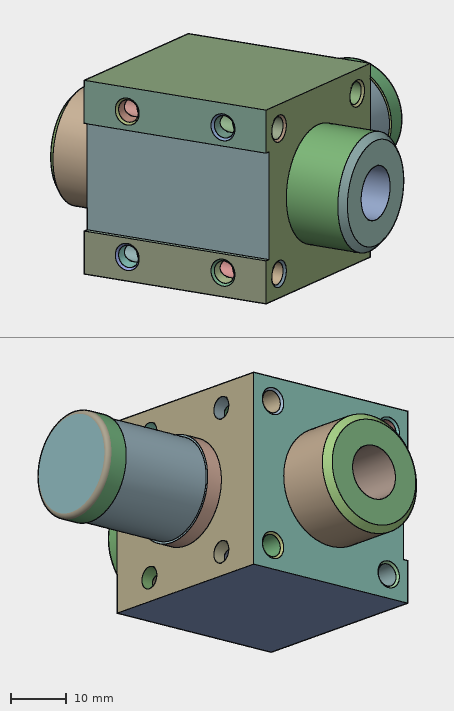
import cadquery as cq
import math

block_length = 38.0
block_side = 36.0

channel_width = 20.0
channel_depth = 1.0

shaft_length = 62.0
shaft_diameter = 22.0
shaft_chamfer = 1.25
bore_diameter = 10.0

cylinder_length = 26.5
cylinder_diameter = 19.2
collar_diameter = 20.0
base_collar_length = 3.2
end_collar_length = 4.3
end_edge_radius = 0.9

hole_diameter = 4.134
countersink_diameter = 5.0
countersink_wall_angle = 45.0
hole_inset = 4.5
front_hole_spacing = 20.0

side_hole_spacing = block_side - 2 * hole_inset
countersink_depth = (
    (countersink_diameter - hole_diameter) / 2 / math.tan(math.radians(countersink_wall_angle))
)


def make_block():
    """Block with the shallow channel running along X in its front face."""
    block = cq.Workplane("XY").box(block_length, block_side, block_side)
    channel = cq.Workplane("XY").box(block_length, 2 * channel_depth, channel_width)
    return block.cut(channel.translate((0, -block_side / 2, 0)))


def make_shaft():
    """Round shaft through the block, chamfered at both ends."""
    shaft = cq.Workplane("YZ").circle(shaft_diameter / 2).extrude(shaft_length / 2, both=True)
    return shaft.faces("<X or >X").chamfer(shaft_chamfer)


def make_rear_cylinder():
    """Cylinder standing on the rear face, with a collar at each end and a rounded end edge."""
    base = cq.Workplane("XZ", origin=(0, block_side / 2, 0))
    end = cq.Workplane("XZ", origin=(0, block_side / 2 + cylinder_length, 0))
    base_collar = base.circle(collar_diameter / 2).extrude(-base_collar_length)
    end_collar = end.circle(collar_diameter / 2).extrude(end_collar_length)
    end_collar = end_collar.faces(">Y").fillet(end_edge_radius)
    barrel = base.circle(cylinder_diameter / 2).extrude(end_collar_length - cylinder_length)
    return barrel.union(base_collar).union(end_collar)


def cut_bore(body):
    """Bore running the full length of the shaft."""
    bore = cq.Workplane("YZ").circle(bore_diameter / 2).extrude(shaft_length / 2, both=True)
    return body.cut(bore)


def drill_holes(body, face, across_spacing, depth):
    """Rectangle of four holes of the given depth, countersunk where they enter the plane `face`."""
    mouths = face.rect(across_spacing, side_hole_spacing, forConstruction=True).vertices()
    drills = mouths.circle(hole_diameter / 2).extrude(-depth)
    countersinks = mouths.circle(countersink_diameter / 2).extrude(
        -countersink_depth, taper=countersink_wall_angle
    )
    return body.cut(drills).cut(countersinks)


result = make_block().union(make_shaft()).union(make_rear_cylinder())
result = cut_bore(result)

left_face = cq.Workplane("YZ", origin=(-block_length / 2, 0, 0)).transformed(rotate=(0, 180, 0))
right_face = cq.Workplane("YZ", origin=(block_length / 2, 0, 0))
front_face = cq.Workplane("XZ", origin=(0, -block_side / 2, 0))

for side_face in (left_face, right_face):
    result = drill_holes(result, side_face, side_hole_spacing, block_length / 2)
result = drill_holes(result, front_face, front_hole_spacing, block_side).solids()